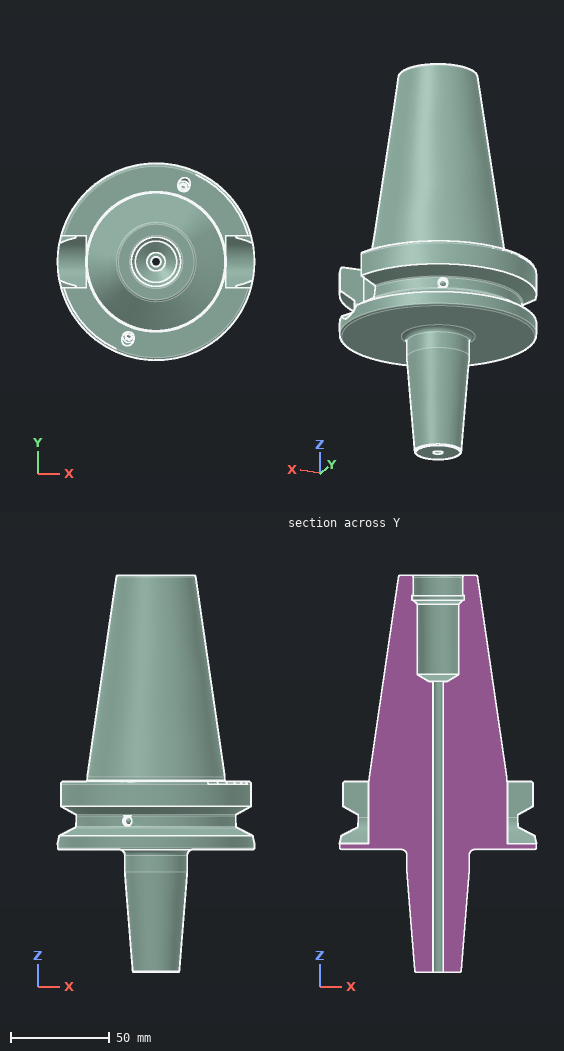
import cadquery as cq
import math

TOTAL_HEIGHT = 201.8
TAPER_LENGTH = 101.7
GAUGE_Z = TOTAL_HEIGHT - TAPER_LENGTH
TAPER_BASE_Z = 99.3
FLANGE_TOP_Z = 97.0
FLANGE_BOTTOM_Z = 62.4

TAPER_RATE = 7 / 24
GAUGE_RADIUS = 35.0
TAPER_END_RADIUS = GAUGE_RADIUS - TAPER_LENGTH * TAPER_RATE / 2
TAPER_BASE_RADIUS = GAUGE_RADIUS + (GAUGE_Z - TAPER_BASE_Z) * TAPER_RATE / 2
TAPER_END_ROUND = 1.0
TAPER_BASE_ROUND = 0.6

FLANGE_RADIUS = 50.0
FLANGE_TOP_ROUND = 1.5
FLANGE_BOTTOM_ROUND = 1.0
GROOVE_RADIUS = 42.5
GROOVE_FLOOR_WIDTH = 6.3
GROOVE_Z = 76.9
GROOVE_CORNER_ROUND = 0.8
GROOVE_FLANK_ANGLE = math.radians(30)
GROOVE_FLOOR_TOP_Z = GROOVE_Z + GROOVE_FLOOR_WIDTH / 2
GROOVE_FLOOR_BOTTOM_Z = GROOVE_Z - GROOVE_FLOOR_WIDTH / 2
FLANK_HEIGHT = (FLANGE_RADIUS - GROOVE_RADIUS) * math.tan(GROOVE_FLANK_ANGLE)

NOSE_RADIUS = 16.0
NOSE_TIP_RADIUS = 12.0
NOSE_CONE_TOP_Z = 51.0
NOSE_ROOT_ROUND = 2.8
NOSE_TIP_CHAMFER = 0.6

PILOT_RADIUS = 12.5
PILOT_DEPTH = 10.5
BORE_MOUTH_ROUND = 1.0
RELIEF_RADIUS = 13.1
RELIEF_DEPTH = 12.7
THREAD_RADIUS = 10.5
THREAD_LEAD_IN_DEPTH = RELIEF_DEPTH + PILOT_RADIUS - THREAD_RADIUS
THREAD_DEPTH = 50.5
DRILL_POINT_END_RADIUS = 4.6
DRILL_POINT_SLOPE = math.radians(31)
DRILL_POINT_HEIGHT = (THREAD_RADIUS - DRILL_POINT_END_RADIUS) * math.tan(DRILL_POINT_SLOPE)
THROUGH_RADIUS = 2.5

SLOT_WIDTH = 26.2
SLOT_BOTTOM_Z = 65.5
SLOT_FLOOR_X = 35.3

COOLANT_AZIMUTHS = (70, 250)
SCREW_HOLE_RADIUS = 3.0
SCREW_HOLE_POSITION = 41.8
SCREW_HOLE_TILT = 30
SCREW_DEPTH = 2.0
SOCKET_ACROSS_FLATS = 3.2
SOCKET_DEPTH = 1.6
PLUG_HOLE_RADIUS = 2.5
PLUG_HOLE_DEPTH = 2.5
PLUG_BALL_RADIUS = 2.0


def revolved(half_profile):
    """Close a half profile drawn in XZ and revolve it about Z."""
    return half_profile.close().revolve(360, (0, 0, 0), (0, 1, 0))


def round_rim(body, rim_radius, rim_z, size):
    """Fillet the circular edge about Z that has this radius and height."""
    tolerance = 0.002
    level = cq.selectors.BoxSelector(
        (-tolerance, -tolerance, rim_z - tolerance),
        (tolerance, tolerance, rim_z + tolerance),
    )
    rims = body.edges("%CIRCLE").edges(level)
    rim = rims.filter(lambda edge: abs(edge.radius() - rim_radius) < tolerance)
    return rim.fillet(size)


def make_body():
    """Taper, grooved flange and nose as one turned solid."""
    body = revolved(
        cq.Workplane("XZ")
        .lineTo(NOSE_TIP_RADIUS - NOSE_TIP_CHAMFER, 0)
        .lineTo(NOSE_TIP_RADIUS, NOSE_TIP_CHAMFER)
        .lineTo(NOSE_RADIUS, NOSE_CONE_TOP_Z)
        .lineTo(NOSE_RADIUS, FLANGE_BOTTOM_Z)
        .lineTo(FLANGE_RADIUS, FLANGE_BOTTOM_Z)
        .lineTo(FLANGE_RADIUS, GROOVE_FLOOR_BOTTOM_Z - FLANK_HEIGHT)
        .lineTo(GROOVE_RADIUS, GROOVE_FLOOR_BOTTOM_Z)
        .lineTo(GROOVE_RADIUS, GROOVE_FLOOR_TOP_Z)
        .lineTo(FLANGE_RADIUS, GROOVE_FLOOR_TOP_Z + FLANK_HEIGHT)
        .lineTo(FLANGE_RADIUS, FLANGE_TOP_Z)
        .lineTo(TAPER_BASE_RADIUS, FLANGE_TOP_Z)
        .lineTo(TAPER_BASE_RADIUS, TAPER_BASE_Z)
        .lineTo(TAPER_END_RADIUS, TOTAL_HEIGHT)
        .lineTo(0, TOTAL_HEIGHT)
    )
    body = round_rim(body, NOSE_RADIUS, FLANGE_BOTTOM_Z, NOSE_ROOT_ROUND)
    body = round_rim(body, FLANGE_RADIUS, FLANGE_BOTTOM_Z, FLANGE_BOTTOM_ROUND)
    body = round_rim(body, GROOVE_RADIUS, GROOVE_FLOOR_BOTTOM_Z, GROOVE_CORNER_ROUND)
    body = round_rim(body, GROOVE_RADIUS, GROOVE_FLOOR_TOP_Z, GROOVE_CORNER_ROUND)
    body = round_rim(body, FLANGE_RADIUS, FLANGE_TOP_Z, FLANGE_TOP_ROUND)
    body = round_rim(body, TAPER_BASE_RADIUS, FLANGE_TOP_Z, TAPER_BASE_ROUND)
    return round_rim(body, TAPER_END_RADIUS, TOTAL_HEIGHT, TAPER_END_ROUND)


def make_bore():
    """Pilot, relief, thread core and drill point, then a small hole right through."""
    thread_end_z = TOTAL_HEIGHT - THREAD_DEPTH
    drill_point_end_z = thread_end_z - DRILL_POINT_HEIGHT
    return revolved(
        cq.Workplane("XZ")
        .lineTo(THROUGH_RADIUS, 0)
        .lineTo(THROUGH_RADIUS, drill_point_end_z)
        .lineTo(DRILL_POINT_END_RADIUS, drill_point_end_z)
        .lineTo(THREAD_RADIUS, thread_end_z)
        .lineTo(THREAD_RADIUS, TOTAL_HEIGHT - THREAD_LEAD_IN_DEPTH)
        .lineTo(PILOT_RADIUS, TOTAL_HEIGHT - RELIEF_DEPTH)
        .lineTo(RELIEF_RADIUS, TOTAL_HEIGHT - RELIEF_DEPTH)
        .lineTo(RELIEF_RADIUS, TOTAL_HEIGHT - PILOT_DEPTH)
        .lineTo(PILOT_RADIUS, TOTAL_HEIGHT - PILOT_DEPTH)
        .lineTo(PILOT_RADIUS, TOTAL_HEIGHT)
        .lineTo(0, TOTAL_HEIGHT)
    )


def make_drive_slot():
    """Round-bottomed slot on the +X side, open at the flange top."""
    half_width = SLOT_WIDTH / 2
    arc_centre_z = SLOT_BOTTOM_Z + half_width
    return (
        cq.Workplane("YZ", origin=(SLOT_FLOOR_X, 0, 0))
        .moveTo(-half_width, FLANGE_TOP_Z)
        .lineTo(-half_width, arc_centre_z)
        .threePointArc((0, SLOT_BOTTOM_Z), (half_width, arc_centre_z))
        .lineTo(half_width, FLANGE_TOP_Z)
        .close()
        .extrude(FLANGE_RADIUS - SLOT_FLOOR_X)
    )


def make_screw_hole():
    """Hole leaning inward from the flange face, down to a hex socket screw."""
    overrun = 2 * SCREW_HOLE_RADIUS
    hole = cq.Workplane("XY").circle(SCREW_HOLE_RADIUS).extrude(SCREW_DEPTH + overrun)
    socket = (
        cq.Workplane("XY")
        .polygon(6, SOCKET_ACROSS_FLATS, circumscribed=True)
        .extrude(-SOCKET_DEPTH)
    )
    return (
        hole.union(socket)
        .translate((0, 0, -SCREW_DEPTH))
        .rotate((0, 0, 0), (0, 1, 0), SCREW_HOLE_TILT)
        .translate((SCREW_HOLE_POSITION, 0, FLANGE_TOP_Z))
    )


def make_plug_hole():
    """Radial hole in the groove floor, leaving a ball plug standing at its bottom."""
    half_profile = (
        cq.Workplane("XZ")
        .moveTo(0, PLUG_BALL_RADIUS)
        .threePointArc(
            (PLUG_BALL_RADIUS * math.sqrt(0.5), PLUG_BALL_RADIUS * math.sqrt(0.5)),
            (PLUG_BALL_RADIUS, 0),
        )
        .lineTo(PLUG_HOLE_RADIUS, 0)
        .lineTo(PLUG_HOLE_RADIUS, 2 * PLUG_HOLE_DEPTH)
        .lineTo(0, 2 * PLUG_HOLE_DEPTH)
    )
    return (
        revolved(half_profile)
        .rotate((0, 0, 0), (0, 1, 0), 90)
        .translate((GROOVE_RADIUS - PLUG_HOLE_DEPTH, 0, GROOVE_Z))
    )


def turned(shape, azimuth):
    """Turn a shape about the Z axis by an angle in degrees."""
    return shape.rotate((0, 0, 0), (0, 0, 1), azimuth)


result = make_body().cut(make_bore())
result = round_rim(result, PILOT_RADIUS, TOTAL_HEIGHT, BORE_MOUTH_ROUND)
for slot_azimuth in (0, 180):
    result = result.cut(turned(make_drive_slot(), slot_azimuth))
for coolant_azimuth in COOLANT_AZIMUTHS:
    result = result.cut(turned(make_screw_hole(), coolant_azimuth))
    result = result.cut(turned(make_plug_hole(), coolant_azimuth))